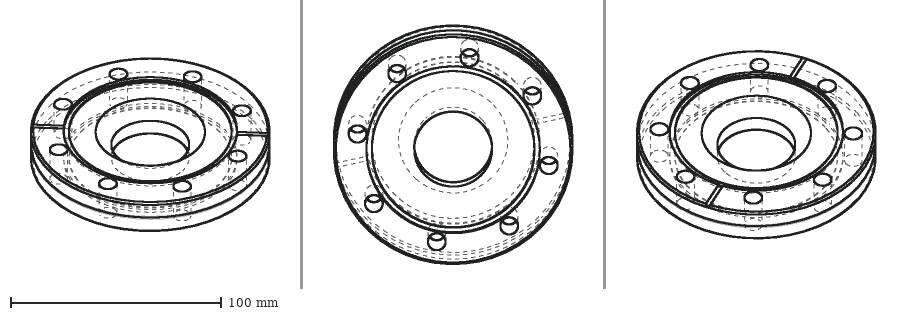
import cadquery as cq
import math

flange_diameter = 113.5
thickness = 17.5
rim_chamfer = 1.0

recess_diameter = 82.4
knife_diameter = 77.4
knife_tip_depth = 0.7
knife_slope = 20.0
knife_land_width = 0.1
inner_face_depth = 1.1

bore_diameter = 37.0
funnel_diameter = 52.0

bolt_count = 8
bolt_circle_diameter = 92.2
bolt_hole_diameter = 8.4

rim_groove_width = 1.7
rim_groove_depth = 0.2

leak_groove_width = 2.2
leak_groove_depth = 0.6
leak_groove_angle = 180.0 / bolt_count

flange_radius = flange_diameter / 2
recess_radius = recess_diameter / 2
knife_radius = knife_diameter / 2
bore_radius = bore_diameter / 2
funnel_radius = funnel_diameter / 2


def revolve_profile(points):
    """Revolve a closed (radius, height) outline about Z."""
    return cq.Workplane("XZ").polyline(points).close().revolve(360, (0, 0), (0, 1))


def make_body():
    disc = cq.Workplane("XY").circle(flange_radius).extrude(thickness)
    return disc.edges().chamfer(rim_chamfer)


def make_top_recess():
    """Recess whose floor rises to a knife edge, then steps down to the inner face."""
    slope_drop = (recess_radius - knife_radius) * math.tan(math.radians(knife_slope))
    inner_face_z = thickness - inner_face_depth
    tip_z = thickness - knife_tip_depth
    return revolve_profile([
        (0, thickness),
        (recess_radius, thickness),
        (recess_radius, tip_z - slope_drop),
        (knife_radius, tip_z),
        (knife_radius - knife_land_width, inner_face_z),
        (0, inner_face_z),
    ])


def make_bore():
    funnel_top = thickness - inner_face_depth
    funnel_bottom = funnel_top - (funnel_radius - bore_radius)
    return revolve_profile([
        (0, 0),
        (bore_radius, 0),
        (bore_radius, funnel_bottom),
        (funnel_radius, funnel_top),
        (0, funnel_top),
    ])


def make_bolt_holes():
    return (
        cq.Workplane("XY")
        .polarArray(bolt_circle_diameter / 2, 0, 360, bolt_count)
        .circle(bolt_hole_diameter / 2)
        .extrude(thickness)
    )


def make_rim_groove():
    middle = thickness / 2
    return revolve_profile([
        (flange_radius, middle - rim_groove_width / 2),
        (flange_radius - rim_groove_depth, middle),
        (flange_radius, middle + rim_groove_width / 2),
    ])


def make_leak_groove(angle):
    """Radial channel from the recess out through the rim."""
    half_width = leak_groove_width / 2
    start = knife_radius
    return (
        cq.Workplane("YZ")
        .workplane(offset=start)
        .moveTo(-half_width, thickness)
        .threePointArc((0, thickness - leak_groove_depth), (half_width, thickness))
        .close()
        .extrude(flange_radius - start)
        .rotate((0, 0, 0), (0, 0, 1), angle)
    )


top_recess = make_top_recess()
bottom_recess = top_recess.mirror("XY", (0, 0, thickness / 2))

result = (
    make_body()
    .cut(top_recess)
    .cut(bottom_recess)
    .cut(make_bore())
    .cut(make_bolt_holes())
    .cut(make_rim_groove())
)
for angle in (leak_groove_angle, leak_groove_angle + 180):
    result = result.cut(make_leak_groove(angle))